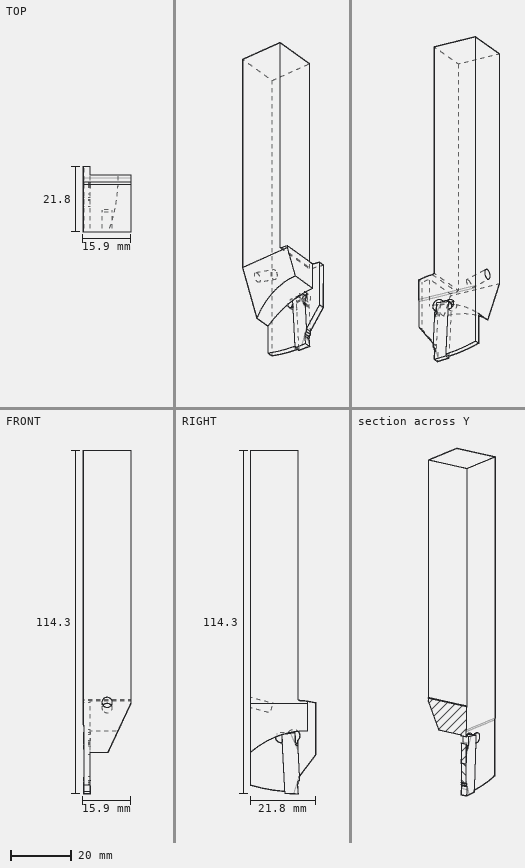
import cadquery as cq
import math

shank_side = 15.9
overall_height = 114.3
shoulder_y = 19.0
shelf_z = 31.1
shelf_slope_y = 18.0
shelf_slope_angle = 10.0
corner_width = 0.7
corner_height = 0.3
head_bottom_z = 13.8
underside_mid = (9.8, 19.5)
underside_back_z = 21.0
taper_top_z = 30.2
taper_bottom_x = 8.2

blade_right_x = 2.3
blade_relief = 0.2
relief_top_z = 23.2
relief_bottom_z = 22.5
blade_back_y = 21.8
blade_back_z = 13.1
blade_nose = (16.2, 5.7)
blade_front_z = 3.0
blade_bottom_mid = (5.7, 1.6)
blade_bottom_end = (11.8, 0.86)

screw_hole_diameter = 3.3
screw_hole_z = 30.5
screw_hole_tilt = 15.0
screw_hole_depth = 7.3

insert_tilt = 3.0
insert_mid_y = 11.0
insert_width = 5.1
insert_back_half_length = 9.8
tip_half_length = 10.3
tip_u = 4.5
pocket_half_length = 10.4
front_hole = (10.2, 18.9, 1.7)
rear_hole = (14.4, 19.4, 2.1)

chip_breaker = [
    (insert_width, 5.7),
    (4.5, 6.2),
    (4.7, 6.6),
    (4.3, 7.1),
    (4.5, 8.0),
    (tip_u, tip_half_length),
]
flare_start = (4.2, 6.6)
flare_end = (2.9, 10.3)
flare_slope = 0.1
flare_allowance = 1.1

tilt = math.radians(insert_tilt)
insert_mid_z = tip_half_length * math.cos(tilt) - tip_u * math.sin(tilt)


def insert_plane(x):
    """Plane with its axes across and along the insert, at the given X."""
    return cq.Plane(
        origin=(x, insert_mid_y, insert_mid_z),
        xDir=(0, math.cos(tilt), math.sin(tilt)),
        normal=(1, 0, 0),
    )


def shelf_height(y):
    """Height of the sloping part of the shoulder top."""
    return shelf_z - (y - shelf_slope_y) * math.tan(math.radians(shelf_slope_angle))


def make_shank_and_head():
    body = (
        cq.Workplane("YZ")
        .moveTo(0, overall_height)
        .lineTo(shank_side, overall_height)
        .lineTo(shank_side, shelf_z + corner_height)
        .lineTo(shank_side + corner_width, shelf_z)
        .lineTo(shelf_slope_y, shelf_z)
        .lineTo(shoulder_y, shelf_height(shoulder_y))
        .lineTo(shoulder_y, underside_back_z)
        .threePointArc(underside_mid, (0, head_bottom_z))
        .close()
        .extrude(shank_side)
    )
    taper = (
        cq.Workplane("XZ")
        .polyline([
            (shank_side, taper_top_z),
            (taper_bottom_x, head_bottom_z),
            (shank_side, head_bottom_z),
        ])
        .close()
        .extrude(-blade_back_y)
    )
    return body.cut(taper)


def make_blade():
    return (
        cq.Workplane("YZ")
        .moveTo(0, shelf_z)
        .lineTo(shelf_slope_y, shelf_z)
        .lineTo(blade_back_y, shelf_height(blade_back_y))
        .lineTo(blade_back_y, blade_back_z)
        .lineTo(*blade_nose)
        .lineTo(*blade_bottom_end)
        .threePointArc(blade_bottom_mid, (0, blade_front_z))
        .close()
        .extrude(blade_right_x)
    )


def make_blade_relief():
    """Thin layer taken off the -X face below the shank."""
    return (
        cq.Workplane("XZ")
        .polyline([(0, relief_top_z), (blade_relief, relief_bottom_z), (blade_relief, 0), (0, 0)])
        .close()
        .extrude(-blade_back_y)
    )


def make_screw_hole():
    angle = math.radians(screw_hole_tilt)
    inward = cq.Vector(0, math.cos(angle), -math.sin(angle))
    mouth = cq.Vector(shank_side / 2, 0, screw_hole_z)
    start = mouth - inward * screw_hole_diameter
    length = screw_hole_depth + screw_hole_diameter
    return cq.Solid.makeCylinder(screw_hole_diameter / 2, length, start, inward)


def make_pocket():
    """Slot through the blade, open at the bottom, with a round hole at each top corner."""
    pocket = (
        cq.Workplane(insert_plane(0))
        .center(insert_width / 2, 0)
        .rect(insert_width, 2 * pocket_half_length)
        .extrude(blade_right_x)
    )
    for y, z, radius in (front_hole, rear_hole):
        pocket = pocket.union(cq.Workplane("YZ").center(y, z).circle(radius).extrude(blade_right_x))
    return pocket


def make_holder():
    holder = make_shank_and_head().union(make_blade())
    return holder.cut(make_blade_relief()).cut(make_screw_hole()).cut(make_pocket())


def insert_blank(x_start, x_end):
    """Insert outline, alike at both ends, extruded from one X to another."""
    lower = [(u, -reach) for u, reach in chip_breaker] + [(0, -insert_back_half_length)]
    upper = [(u, -v) for u, v in reversed(lower)]
    return cq.Workplane(insert_plane(x_start)).polyline(lower + upper).close().extrude(x_end - x_start)


def make_flare(end):
    """Wedge that widens the insert towards the cutting edge at one end (-1 lower, 1 upper)."""
    plane = insert_plane((blade_relief + blade_right_x) / 2)
    start = plane.toWorldCoords((flare_start[0], end * flare_start[1]))
    stop = plane.toWorldCoords((flare_end[0], end * flare_end[1]))
    along = (stop - start).normalized()
    outward = cq.Vector(1, 0, 0).cross(along) * -end
    half_width = (blade_right_x - blade_relief) / 2
    reach = insert_width
    wide = half_width + reach * flare_slope
    wedge_start = start - along * reach
    wedge_length = (stop - start).Length + 2 * reach
    section = cq.Plane(wedge_start, xDir=outward, normal=along)
    return (
        cq.Workplane(section)
        .polyline([(0, -half_width), (reach, -wide), (reach, wide), (0, half_width)])
        .close()
        .extrude(wedge_length)
    )


def make_insert():
    insert = insert_blank(blade_relief, blade_right_x)
    wide_blank = insert_blank(blade_relief - flare_allowance, blade_right_x + flare_allowance)
    for end in (-1, 1):
        insert = insert.union(wide_blank.intersect(make_flare(end)))
    return insert


holder = make_holder()
insert = make_insert()
result = cq.Compound.makeCompound([holder.val(), insert.val()])